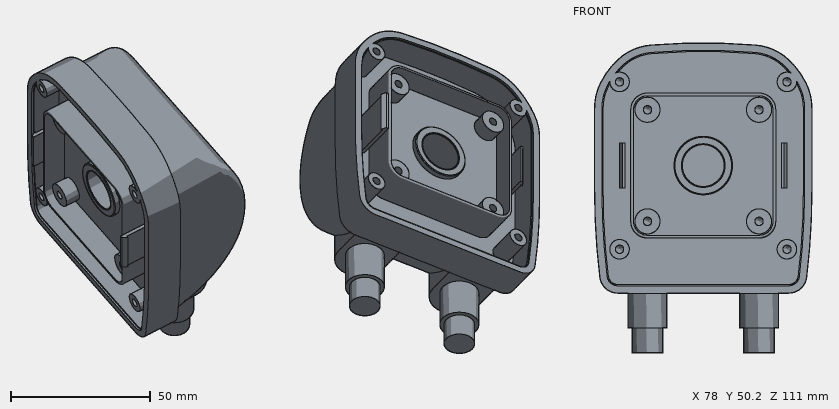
import cadquery as cq

FRAME_DEPTH = 13.9
FRAME_TOP = 44.0
HALF_WIDTH = 39.0
FRAME_BOTTOM = -45.7
FRAME_EDGE_ROUND = 0.4
FRAME_WALL = 3.1
CAVITY_DEPTH = 11.5
LIP_WALL = 2.7
LIP_DEPTH = 0.8

DOME_INSET = 3.8
DOME_ROOT_Y = 5.5
DOME_BOTTOM = -42.5
DOME_RADIUS = 43.0
DOME_BACK = 45.4
DOME_CENTRE_Z = -0.9
DOME_EDGE_ROUND = 2.8

TRAY_SIZE = 52.0
TRAY_WALL = 1.0
TRAY_CORNER_RADIUS = 6.0
TRAY_RIM_Y = -2.0
TRAY_FLOOR_Y = 6.7
TRAY_RIM_ROUND = 0.3

HUB_DIAMETER = 21.0
HUB_BORE_DIAMETER = 15.0
HUB_FACE_Y = 4.4
HUB_BORE_DEPTH = 20
HUB_CHAMFER = 0.3

SCREW_HOLE_DIAMETER = 3.0
SCREW_HOLE_DEPTH = 5.5
SCREW_TIP_DEPTH = 0.9
TRAY_POST_DIAMETER = 9.0
TRAY_POST_SPACING = 40
TRAY_POST_FACE_Y = 1.1
FRAME_POST_DIAMETER = 7.0
FRAME_POST_SPACING = 59.9
FRAME_POST_FACE_Y = 0

CLIP_INNER_X = 28.0
CLIP_THICKNESS = 1.3
CLIP_WIDTH = 16.2
CLIP_TIP_Y = -4.8
CLIP_TIP_CHAMFER = 0.4
BARB_SIZE = 0.7
BARB_BACK_Y = -2.9

CONNECTOR_SPACING = 40
BOSS_RADIUS = 9.4
BOSS_BACK_Y = 35.9
BOSS_BOTTOM_Z = -43.7
BOSS_TOP_Z = -22.2
SLEEVE_DIAMETER = 14.0
SLEEVE_BOTTOM_Z = -58.2
CABLE_DIAMETER = 11.0
CABLE_BOTTOM_Z = FRAME_TOP - 111
CABLE_Y = 23.9


def front_plane(y):
    """Plane facing +Y at the given Y, with its local axes along -X and Z."""
    return cq.Workplane(cq.Plane(origin=(0, y, 0), xDir=(-1, 0, 0), normal=(0, 1, 0)))


def outline(inset, y_start, y_end, bottom_z=FRAME_BOTTOM):
    """Solid between two Y positions; its outline ends at bottom_z before it is shrunk by inset."""
    crown = [(18.8, 43.2), (30.4, 38.1), (36.7, 29.7), (HALF_WIDTH, 20.5)]
    top_drop = FRAME_TOP - crown[0][1]
    top_radius = (crown[0][0] ** 2 + top_drop**2) / (2 * top_drop)
    profile = front_plane(y_start).moveTo(0, FRAME_TOP).radiusArc(crown[0], top_radius)
    for point in crown[1:]:
        profile = profile.tangentArcPoint(point, relative=False)
    profile = (
        profile.lineTo(HALF_WIDTH, -8.9)
        .tangentArcPoint((37.1, bottom_z + 5.8), relative=False)
        .tangentArcPoint((30.5, bottom_z), relative=False)
        .lineTo(0, bottom_z)
        .mirrorY()
    )
    if inset:
        profile = profile.offset2D(-inset)
    return profile.extrude(y_end - y_start)


def cylinder(diameter, y_start, y_end, points=((0, 0),)):
    """Cylinders along Y centred on the given (X, Z) points."""
    return front_plane(y_start).pushPoints(points).circle(diameter / 2).extrude(y_end - y_start)


def square_corners(spacing):
    half = spacing / 2
    return [(x, z) for x in (-half, half) for z in (-half, half)]


def rounded_square(size, corner_radius, y_start, y_end):
    block = front_plane(y_start).rect(size, size).extrude(y_end - y_start)
    return block.edges("|Y").fillet(corner_radius)


def make_frame():
    return outline(0, 0, FRAME_DEPTH).faces(">Y").edges().fillet(FRAME_EDGE_ROUND)


def make_cavity():
    """Open front of the frame, with a slightly wider lip at its mouth."""
    return outline(FRAME_WALL, 0, CAVITY_DEPTH).union(outline(LIP_WALL, 0, LIP_DEPTH))


def make_dome():
    """Cylinder lying along X, trimmed to the inset frame outline, with a rounded rim."""
    drum = (
        cq.Workplane("YZ")
        .center(DOME_BACK - DOME_RADIUS, DOME_CENTRE_Z)
        .circle(DOME_RADIUS)
        .extrude(DOME_RADIUS, both=True)
    )
    dome = outline(DOME_INSET, DOME_ROOT_Y, DOME_BACK + 1.1, DOME_BOTTOM - DOME_INSET).intersect(drum)
    return dome.edges("not(#Y or |Y)").fillet(DOME_EDGE_ROUND)


def make_tray():
    block = rounded_square(TRAY_SIZE, TRAY_CORNER_RADIUS, TRAY_RIM_Y, FRAME_DEPTH)
    block = block.faces("<Y").edges().fillet(TRAY_RIM_ROUND)
    pocket = rounded_square(
        TRAY_SIZE - 2 * TRAY_WALL, TRAY_CORNER_RADIUS - TRAY_WALL, TRAY_RIM_Y, TRAY_FLOOR_Y
    )
    return block.cut(pocket)


def make_hub():
    return cylinder(HUB_DIAMETER, HUB_FACE_Y, FRAME_DEPTH).faces("<Y").edges().chamfer(HUB_CHAMFER)


def make_hub_bore():
    bore = cylinder(HUB_BORE_DIAMETER, HUB_FACE_Y, HUB_FACE_Y + HUB_BORE_DEPTH)
    mouth = cylinder(HUB_BORE_DIAMETER + 2 * HUB_CHAMFER, HUB_FACE_Y, HUB_FACE_Y + HUB_CHAMFER)
    return bore.union(mouth)


def make_clip(side):
    """Snap clip with an outward barb at its tip; side is +1 or -1 along X."""
    inner = CLIP_INNER_X
    outer = CLIP_INNER_X + CLIP_THICKNESS
    section = [
        (inner, FRAME_DEPTH),
        (outer, FRAME_DEPTH),
        (outer, BARB_BACK_Y),
        (outer + BARB_SIZE, BARB_BACK_Y),
        (outer - CLIP_TIP_CHAMFER, CLIP_TIP_Y),
        (inner, CLIP_TIP_Y),
    ]
    points = [(side * x, y) for x, y in section]
    return cq.Workplane("XY").polyline(points).close().extrude(CLIP_WIDTH / 2, both=True)


def upright(diameter, x, y, z_bottom, z_top):
    """Vertical cylinder."""
    base = cq.Workplane("XY", origin=(x, y, z_bottom))
    return base.circle(diameter / 2).extrude(z_top - z_bottom)


def make_connector(x):
    """Boss blended into the dome, carrying a cable sleeve and a cable end."""
    boss_y = BOSS_BACK_Y - BOSS_RADIUS
    boss = upright(2 * BOSS_RADIUS, x, boss_y, BOSS_BOTTOM_Z, BOSS_TOP_Z)
    bridge_depth = boss_y - CAVITY_DEPTH
    bridge = cq.Workplane("XY").box(
        2 * BOSS_RADIUS, bridge_depth, BOSS_TOP_Z - BOSS_BOTTOM_Z, centered=(True, False, False)
    )
    boss = boss.union(bridge.translate((x, CAVITY_DEPTH, BOSS_BOTTOM_Z)))
    sleeve = upright(SLEEVE_DIAMETER, x, CABLE_Y, SLEEVE_BOTTOM_Z, BOSS_TOP_Z)
    cable = upright(CABLE_DIAMETER, x, CABLE_Y, CABLE_BOTTOM_Z, BOSS_TOP_Z)
    return boss.union(sleeve).union(cable)


def add_posts(body, diameter, spacing, face_y):
    """Four posts with blind, cone-ended screw holes on a square pattern."""
    corners = square_corners(spacing)
    posts = cylinder(diameter, face_y, FRAME_DEPTH, corners)
    hole_end = face_y + SCREW_HOLE_DEPTH
    holes = cylinder(SCREW_HOLE_DIAMETER, face_y, hole_end, corners)
    for x, z in corners:
        tip = cq.Solid.makeCone(
            SCREW_HOLE_DIAMETER / 2, 0, SCREW_TIP_DEPTH, cq.Vector(x, hole_end, z), cq.Vector(0, 1, 0)
        )
        holes = holes.union(cq.Workplane(tip))
    return body.union(posts).cut(holes)


result = make_frame().union(make_dome()).cut(make_cavity()).union(make_tray()).union(make_hub())
for connector_x in (-CONNECTOR_SPACING / 2, CONNECTOR_SPACING / 2):
    result = result.union(make_connector(connector_x))
for clip_side in (-1, 1):
    result = result.union(make_clip(clip_side))
result = add_posts(result, TRAY_POST_DIAMETER, TRAY_POST_SPACING, TRAY_POST_FACE_Y)
result = add_posts(result, FRAME_POST_DIAMETER, FRAME_POST_SPACING, FRAME_POST_FACE_Y)
result = result.cut(make_hub_bore())